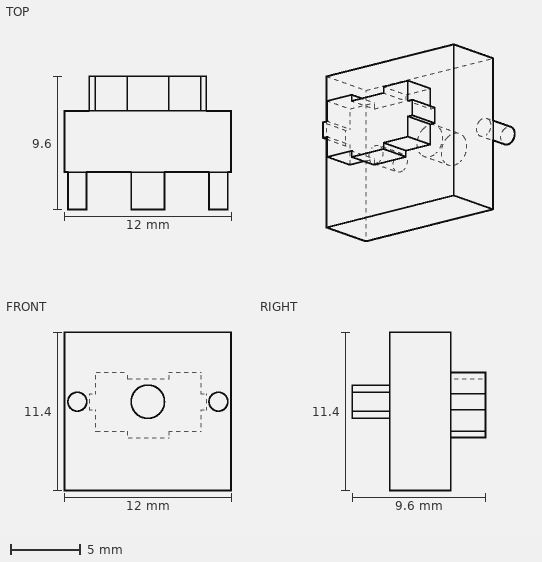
import cadquery as cq

housing_width = 12.0
housing_height = 11.4
housing_depth = 4.4
overall_depth = 9.6

pin_length = 2.7
pin_level = 0.7
centre_pin_diameter = 2.4
side_pin_diameter = 1.35
side_pin_offset = 5.08

stem_length = overall_depth - housing_depth - pin_length
stem_width = 7.6
stem_half_height = 2.11
ear_span = 8.44
ear_height = 1.18
key_width = 3.0
key_depth = 0.47


def box_on_back(width, bottom, top):
    """Block standing on the back face between two heights about the pin level."""
    return (
        cq.Workplane("XY")
        .box(width, stem_length, top - bottom, centered=(True, False, False))
        .translate((0, housing_depth, pin_level + bottom))
    )


def front_pin(x, diameter):
    """Round pin reaching forward from the front face."""
    return (
        cq.Workplane("XZ")
        .center(x, pin_level)
        .circle(diameter / 2)
        .extrude(pin_length)
    )


def make_stem():
    """Rectangular stem with side ears, a key below and a matching notch above."""
    core = box_on_back(stem_width, -stem_half_height, stem_half_height)
    ears = box_on_back(ear_span, -ear_height / 2, ear_height / 2)
    key = box_on_back(key_width, -stem_half_height - key_depth, -stem_half_height)
    notch = box_on_back(key_width, stem_half_height - key_depth, stem_half_height)
    return core.union(ears).union(key).cut(notch)


housing = cq.Workplane("XY").box(
    housing_width, housing_depth, housing_height, centered=(True, False, True)
)

result = housing.union(make_stem()).union(front_pin(0, centre_pin_diameter))
for side in (-1, 1):
    result = result.union(front_pin(side * side_pin_offset, side_pin_diameter))